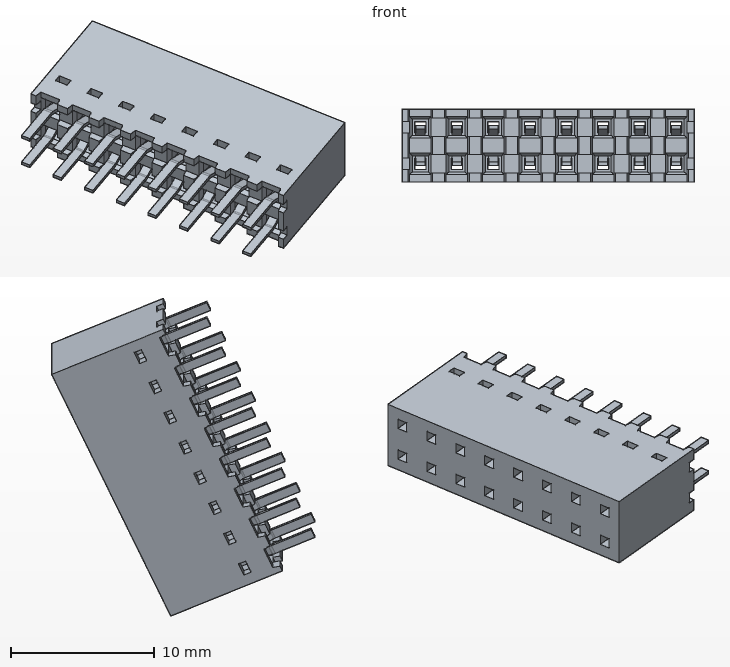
import cadquery as cq
import math

PITCH = 2.54
COLUMNS = 8
ROW_Z = PITCH / 2
BODY_LENGTH = COLUMNS * PITCH
BODY_DEPTH = 8.5
BODY_HEIGHT = 2 * PITCH
COLUMN_X = [(i - (COLUMNS - 1) / 2) * PITCH for i in range(COLUMNS)]

CHANNEL_DEPTH = 0.5
CHANNEL_FLOOR_WIDTH = 1.5
CHANNEL_MOUTH_WIDTH = 1.72
ROW_CHANNEL_HEIGHT = 1.31
END_NOTCH_HEIGHT = 0.8

FUNNEL_MOUTH = CHANNEL_FLOOR_WIDTH
CAVITY_SIZE = 1.12
FUNNEL_DEPTH = 0.33
MATING_WALL = 1.0
ENTRY_SIZE = 0.76

WINDOW_WIDTH = 0.92
WINDOW_LENGTH = 0.54
WINDOW_START_Y = 2.03

PIN_WIDTH = 0.66
PIN_THICKNESS = 0.25
PIN_PROTRUSION = 2.9
BEND_START_Y = 0.12
BEND_OUTER_RADIUS = 0.55
BEND_ANGLE = 22


def box(x_range, y_range, z_range):
    size = [high - low for low, high in (x_range, y_range, z_range)]
    corner = cq.Vector(x_range[0], y_range[0], z_range[0])
    return cq.Workplane(cq.Solid.makeBox(*size, corner))


def around(centre, size):
    return (centre - size / 2, centre + size / 2)


def square_at(y, x, z, size):
    """Square sketched in the XZ plane at y; its extrusion runs toward +Y."""
    plane = cq.Plane(origin=(x, y, z), xDir=(-1, 0, 0), normal=(0, 1, 0))
    return cq.Workplane(plane).rect(size, size)


def column_channel(x):
    """Trapezoidal channel that runs the full height beside one pair of pins."""
    mouth = CHANNEL_MOUTH_WIDTH / 2
    floor = CHANNEL_FLOOR_WIDTH / 2
    outline = [
        (x - mouth, 0),
        (x + mouth, 0),
        (x + floor, CHANNEL_DEPTH),
        (x - floor, CHANNEL_DEPTH),
    ]
    channel = cq.Workplane("XY", origin=(0, 0, -BODY_HEIGHT / 2))
    return channel.polyline(outline).close().extrude(BODY_HEIGHT)


def row_channel(z):
    """Channel along one row: wide between the columns, narrow through the end walls."""
    depth = (0, CHANNEL_DEPTH)
    wide = box((COLUMN_X[0], COLUMN_X[-1]), depth, around(z, ROW_CHANNEL_HEIGHT))
    narrow = box(around(0, BODY_LENGTH), depth, around(z, END_NOTCH_HEIGHT))
    return wide.union(narrow)


def contact_cavity(x, z):
    """Funnel, square cavity and the smaller entry hole through the mating wall."""
    cavity_length = BODY_DEPTH - MATING_WALL - CHANNEL_DEPTH
    cavity = square_at(CHANNEL_DEPTH, x, z, CAVITY_SIZE).extrude(cavity_length)
    entry = square_at(CHANNEL_DEPTH, x, z, ENTRY_SIZE).extrude(BODY_DEPTH - CHANNEL_DEPTH)
    funnel = (
        square_at(CHANNEL_DEPTH, x, z, FUNNEL_MOUTH)
        .workplane(offset=FUNNEL_DEPTH)
        .rect(CAVITY_SIZE, CAVITY_SIZE)
        .loft(ruled=True)
    )
    return cavity.union(entry).union(funnel)


def window(x, side):
    """Slot from the top (side 1) or bottom (side -1) face into the cavity."""
    z_range = sorted((side * ROW_Z, side * BODY_HEIGHT / 2))
    y_range = (WINDOW_START_Y, WINDOW_START_Y + WINDOW_LENGTH)
    return box(around(x, WINDOW_WIDTH), y_range, z_range)


def pin(x, side):
    """Strip that bends toward the middle of the part and runs into the inner cavity wall."""
    angle = math.radians(BEND_ANGLE)
    top = PIN_THICKNESS / 2
    bottom = -top
    tip_y = -PIN_PROTRUSION
    inner_radius = BEND_OUTER_RADIUS - PIN_THICKNESS
    bend_centre_z = top - BEND_OUTER_RADIUS

    def on_bend(radius, turn):
        return (BEND_START_Y + radius * math.sin(turn), bend_centre_z + radius * math.cos(turn))

    outer_end = on_bend(BEND_OUTER_RADIUS, angle)
    inner_end = on_bend(inner_radius, angle)
    slope_length = (outer_end[1] + CAVITY_SIZE / 2) / math.sin(angle)
    step = (slope_length * math.cos(angle), -slope_length * math.sin(angle))
    strip = (
        cq.Workplane("YZ", origin=(x - PIN_WIDTH / 2, 0, ROW_Z))
        .moveTo(tip_y, top)
        .lineTo(BEND_START_Y, top)
        .threePointArc(on_bend(BEND_OUTER_RADIUS, angle / 2), outer_end)
        .line(*step)
        .lineTo(inner_end[0] + step[0], inner_end[1] + step[1])
        .lineTo(*inner_end)
        .threePointArc(on_bend(inner_radius, angle / 2), (BEND_START_Y, bottom))
        .lineTo(tip_y, bottom)
        .close()
        .extrude(PIN_WIDTH)
    )
    return strip if side > 0 else strip.mirror("XY")


result = box(around(0, BODY_LENGTH), (0, BODY_DEPTH), around(0, BODY_HEIGHT))
for side in (1, -1):
    result = result.cut(row_channel(side * ROW_Z))
for x in COLUMN_X:
    result = result.cut(column_channel(x))
    for side in (1, -1):
        result = result.cut(contact_cavity(x, side * ROW_Z))
        result = result.cut(window(x, side))
        result = result.union(pin(x, side))